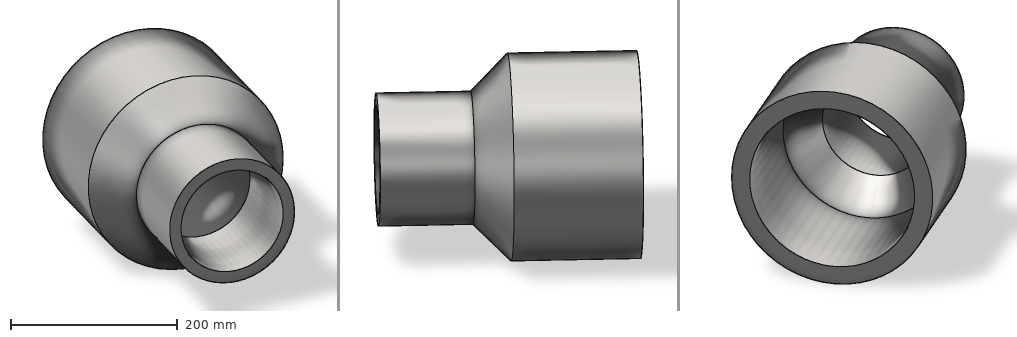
import cadquery as cq

total_length = 314.0
large_outer_diameter = 250.0
large_bore_diameter = 204.7
small_outer_diameter = 160.0
small_bore_diameter = 131.0

large_length = 155.5
cone_length = (large_outer_diameter - small_outer_diameter) / 2
cone_end = large_length + cone_length


def stepped_solid(large_diameter, small_diameter):
    """Solid of revolution about X: large cylinder, cone, small cylinder."""
    large_radius = large_diameter / 2
    small_radius = small_diameter / 2
    return (
        cq.Workplane("XY")
        .moveTo(0, 0)
        .lineTo(0, large_radius)
        .lineTo(large_length, large_radius)
        .lineTo(cone_end, small_radius)
        .lineTo(total_length, small_radius)
        .lineTo(total_length, 0)
        .close()
        .revolve(360, (0, 0, 0), (1, 0, 0))
    )


body = stepped_solid(large_outer_diameter, small_outer_diameter)
bore = stepped_solid(large_bore_diameter, small_bore_diameter)
result = body.cut(bore)